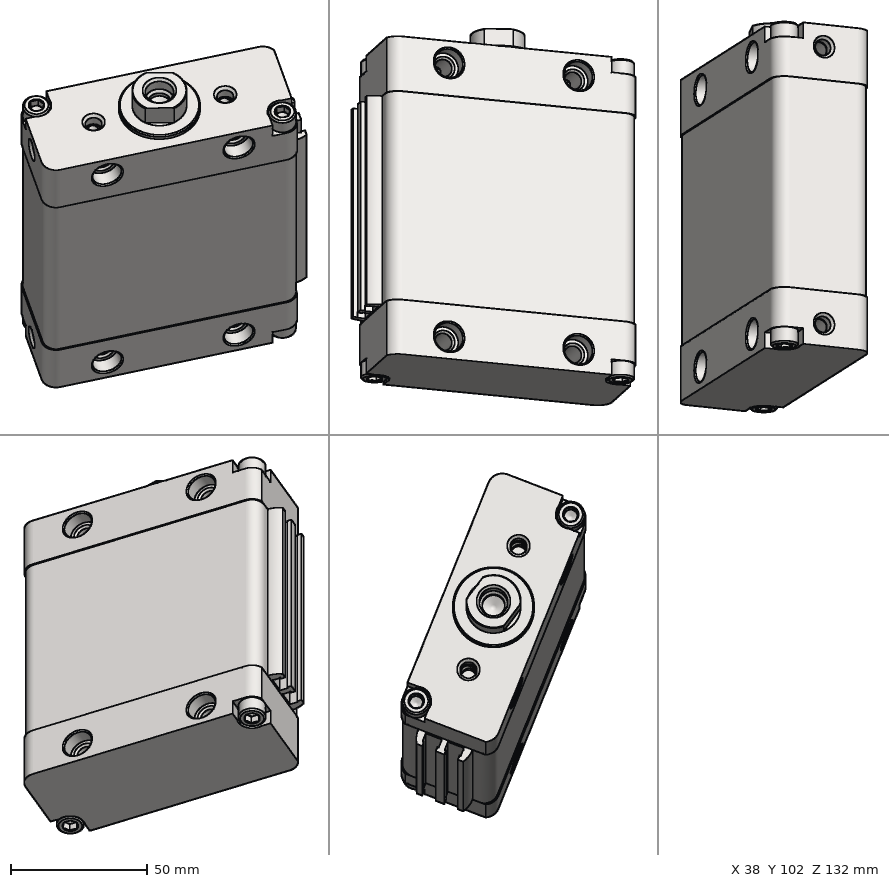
import cadquery as cq
import math


barrel_width = 37.0
barrel_depth = 96.1
barrel_length = 80.0
barrel_corner_radius = 5.0
barrel_back = barrel_depth / 2

rail_height = 5.4
rail_floor = 0.5
rail_root = 1.3
rail_lip_height = 1.7
leg_outer_base = 10.7
leg_outer_top = 9.1
leg_inner_top = 7.0
leg_inner_base = 7.5
tee_half_head = 1.7
tee_half_stem = 1.2

cap_height = 21.0
cap_overhang = 0.5
cap_width = barrel_width + 2 * cap_overhang
cap_depth = barrel_depth + 2 * cap_overhang
cap_corner_radius = barrel_corner_radius + cap_overhang
upper_cap_base = cap_height + barrel_length

screw_x = barrel_width / 2 - barrel_corner_radius
screw_y = barrel_depth / 2 - barrel_corner_radius
head_diameter = 10.0
head_height = 6.0
head_chamfer = 0.7
pocket_diameter = 11.0
pocket_wall = 5.3
pocket_overrun = 1.3
socket_sides = 6
socket_width = 5.0
socket_depth = 3.3
socket_corner_diameter = socket_width / math.cos(math.pi / socket_sides)
drill_point_angle = 118

hole_pitch = 50.0
tapped_diameter = 6.1
tapped_core_diameter = 5.7
tapped_rim_diameter = 8.3
tapped_mouth_depth = 4.6
tapped_depth = 13.2
hole_inset = 8.5
mount_thread_diameter = 11.0
mount_rim_diameter = 12.0
mount_thread_depth = 6.0
mount_step_diameter = 8.3
mount_bore_diameter = 6.6

collar_diameter = 30.0
collar_height = 1.8
collar_chamfer = 0.5
rod_diameter = 20.0
rod_reach = 10.0
rod_chamfer = 0.3
flat_spacing = 17.0
flat_angle = -15
rod_hole_rim_diameter = 12.4
rod_hole_diameter = 10.4
rod_hole_depth = 5.3
rod_tap_diameter = 8.3
rod_tap_depth = 7.9


def cone_height(large_diameter, small_diameter=0.0, angle=90):
    """Axial length of a cone with the given full tip angle."""
    return (large_diameter - small_diameter) / 2 / math.tan(math.radians(angle / 2))


def revolved_tool(stations, origin, direction):
    """Solid of revolution from (diameter, depth) stations, running along direction from origin."""
    points = [(diameter / 2, depth) for diameter, depth in stations]
    points = [(0, stations[0][1])] + points
    if stations[-1][0] > 0:
        points.append((0, stations[-1][1]))
    profile = cq.Workplane("XY").polyline(points).close()
    tool = profile.revolve(360, (0, 0, 0), (0, 1, 0)).val()
    plane = cq.Plane(origin=origin, normal=direction)
    upright = tool.rotate(cq.Vector(0, 0, 0), cq.Vector(1, 0, 0), 90)
    return cq.Workplane(upright.moved(cq.Location(plane)))


def tapped_hole(origin, direction):
    """Flat-bottomed hole with a 45 degree rim chamfer and a slightly narrower core."""
    rim = cone_height(tapped_rim_diameter, tapped_diameter)
    stations = [
        (tapped_rim_diameter, 0),
        (tapped_diameter, rim),
        (tapped_diameter, tapped_mouth_depth),
        (tapped_core_diameter, tapped_mouth_depth),
        (tapped_core_diameter, tapped_depth),
    ]
    return revolved_tool(stations, origin, direction)


def mounting_hole(origin, direction):
    """Half of a cross hole: wide threaded mouth, then a stepped bore to the middle of the cap."""
    rim = cone_height(mount_rim_diameter, mount_thread_diameter)
    step = cone_height(mount_step_diameter, mount_bore_diameter)
    stations = [
        (mount_rim_diameter, 0),
        (mount_thread_diameter, rim),
        (mount_thread_diameter, mount_thread_depth),
        (mount_step_diameter, mount_thread_depth),
        (mount_bore_diameter, mount_thread_depth + step),
        (mount_bore_diameter, cap_width / 2),
    ]
    return revolved_tool(stations, origin, direction)


def screw_pocket():
    """Corner recess: a round bore opened squarely to both outer sides of the corner."""
    reach = cap_corner_radius + pocket_overrun
    floor = cap_height - head_height
    bore = cq.Workplane("XY").circle(pocket_diameter / 2).extrude(head_height)
    along_x = cq.Workplane("XY").box(reach, pocket_wall + reach, head_height, centered=False)
    along_x = along_x.translate((0, -pocket_wall, 0))
    along_y = cq.Workplane("XY").box(pocket_wall + reach, reach, head_height, centered=False)
    along_y = along_y.translate((-pocket_wall, 0, 0))
    return bore.union(along_x).union(along_y).translate((screw_x, screw_y, floor))


def screw_head():
    """Round head with a chamfered top and a hexagon socket that ends in a cone."""
    floor = cap_height - head_height
    head = cq.Workplane("XY").circle(head_diameter / 2).extrude(head_height)
    head = head.faces(">Z").chamfer(head_chamfer).translate((screw_x, screw_y, floor))
    socket = cq.Workplane("XY").polygon(socket_sides, socket_width, circumscribed=True)
    socket = socket.extrude(-socket_depth)
    socket = socket.translate((screw_x, screw_y, cap_height))
    rim = [(socket_corner_diameter, 0), (socket_width, cone_height(socket_corner_diameter, socket_width))]
    countersink = revolved_tool(rim, (screw_x, screw_y, cap_height), (0, 0, -1))
    tip = [(socket_width, 0), (0, cone_height(socket_width, angle=drill_point_angle))]
    socket_floor = (screw_x, screw_y, cap_height - socket_depth)
    point = revolved_tool(tip, socket_floor, (0, 0, -1))
    return head.cut(socket).cut(countersink).cut(point)


def make_cap_blank():
    """Cap with its outer face up at Z = cap_height: block, screws, port and cross holes."""
    cap = cq.Workplane("XY").box(cap_width, cap_depth, cap_height, centered=(True, True, False))
    cap = cap.edges("|Z").fillet(cap_corner_radius)
    trim = cq.Workplane("XY").box(cap_width, cap_depth, cap_height, centered=(True, False, False))
    cap = cap.cut(trim.translate((0, barrel_back, 0)))
    for turn in (0, 180):
        cap = cap.cut(screw_pocket().rotate((0, 0, 0), (0, 0, 1), turn))
        cap = cap.union(screw_head().rotate((0, 0, 0), (0, 0, 1), turn))
    hole_z = cap_height - hole_inset
    cap = cap.cut(tapped_hole((0, -cap_depth / 2, hole_z), (0, 1, 0)))
    for y in (-hole_pitch / 2, hole_pitch / 2):
        for side in (-1, 1):
            mouth = (side * cap_width / 2, y, hole_z)
            cap = cap.cut(mounting_hole(mouth, (-side, 0, 0)))
    return cap


def make_lower_cap():
    """The cap blank mirrored top to bottom, so its screw heads face down and its port stays at -Y."""
    return make_cap_blank().mirror("XY").translate((0, 0, cap_height))


def make_upper_cap():
    """The cap blank with the bearing collar, rod bore and two tapped holes in its top."""
    cap = make_cap_blank()
    collar = cq.Workplane("XY").circle(collar_diameter / 2).extrude(collar_height)
    collar = collar.faces(">Z").chamfer(collar_chamfer).translate((0, 0, cap_height))
    cap = cap.union(collar)
    for y in (-hole_pitch / 2, hole_pitch / 2):
        cap = cap.cut(tapped_hole((0, y, cap_height), (0, 0, -1)))
    bore = cq.Workplane("XY").circle(rod_diameter / 2).extrude(cap_height + collar_height)
    return cap.cut(bore).translate((0, 0, upper_cap_base))


def rail_leg(side):
    """One outer leg of the sensor rail, rooted in the barrel, with a curved outside and an inner lip."""
    rise = leg_outer_base - leg_outer_top
    radius = (rise**2 + rail_height**2) / (2 * rise)
    half_turn = math.asin(rail_height / radius) / 2
    bend = (
        leg_outer_base - radius * (1 - math.cos(half_turn)),
        radius * math.sin(half_turn),
    )
    lip = rail_height - rail_lip_height
    leg = (
        cq.Workplane("XY")
        .moveTo(leg_inner_base, -rail_root)
        .lineTo(leg_outer_base, -rail_root)
        .lineTo(leg_outer_base, 0)
        .threePointArc(bend, (leg_outer_top, rail_height))
        .lineTo(leg_inner_top, rail_height)
        .lineTo(leg_inner_top, lip)
        .lineTo(leg_inner_base, lip)
        .close()
        .extrude(barrel_length)
    )
    return leg if side > 0 else leg.mirror("YZ")


def make_barrel():
    """Rounded block with a sensor rail of two lipped legs and a middle T along its +Y side."""
    barrel = cq.Workplane("XY").box(barrel_width, barrel_depth, barrel_length, centered=(True, True, False))
    barrel = barrel.edges("|Z").fillet(barrel_corner_radius)
    floor = cq.Workplane("XY").rect(2 * leg_outer_top, 2 * rail_floor).extrude(barrel_length)
    stem = cq.Workplane("XY").rect(2 * tee_half_stem, 2 * rail_height).extrude(barrel_length)
    head = cq.Workplane("XY").rect(2 * tee_half_head, rail_lip_height).extrude(barrel_length)
    head = head.translate((0, rail_height - rail_lip_height / 2, 0))
    for piece in (floor, stem, head, rail_leg(-1), rail_leg(1)):
        barrel = barrel.union(piece.translate((0, barrel_back, 0)))
    return barrel.translate((0, 0, cap_height))


def make_rod():
    """Rod standing on the barrel, with two wrench flats and a stepped hole in its end."""
    length = cap_height + rod_reach
    rod = cq.Workplane("XY").circle(rod_diameter / 2).extrude(length)
    rod = rod.faces(">Z").chamfer(rod_chamfer)
    flat_base = cap_height + collar_height
    for side in (-1, 1):
        slab = cq.Workplane("XY").box(rod_diameter, rod_diameter, length)
        slab = slab.translate((side * (flat_spacing + rod_diameter) / 2, 0, flat_base + length / 2))
        rod = rod.cut(slab.rotate((0, 0, 0), (0, 0, 1), flat_angle))
    rim = cone_height(rod_hole_rim_diameter, rod_hole_diameter)
    step = cone_height(rod_hole_diameter, rod_tap_diameter)
    stations = [
        (rod_hole_rim_diameter, 0),
        (rod_hole_diameter, rim),
        (rod_hole_diameter, rod_hole_depth),
        (rod_tap_diameter, rod_hole_depth + step),
        (rod_tap_diameter, rod_tap_depth),
        (0, rod_tap_depth + cone_height(rod_tap_diameter, angle=drill_point_angle)),
    ]
    rod = rod.cut(revolved_tool(stations, (0, 0, length), (0, 0, -1)))
    return rod.translate((0, 0, upper_cap_base))


barrel = make_barrel()
lower_cap = make_lower_cap()
upper_cap = make_upper_cap()
rod = make_rod()

result = cq.Compound.makeCompound([barrel.val(), lower_cap.val(), upper_cap.val(), rod.val()])